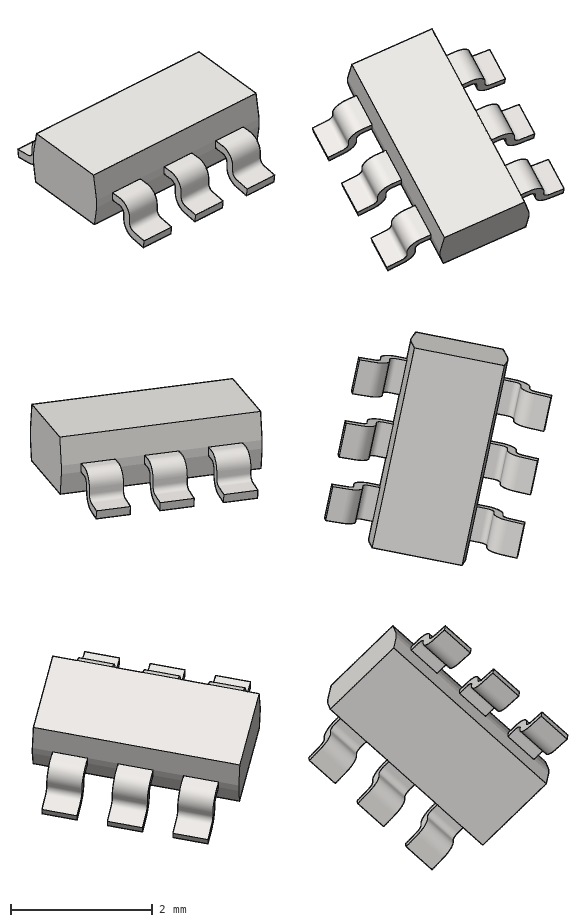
import cadquery as cq
import math

housing_length = 3.0
waist_half_width = 0.702
top_half_width = 0.633
bottom_half_width = 0.65
housing_bottom = 0.125
housing_top = 1.0

lead_thickness = 0.132
lead_width = 0.51
lead_pitch = 0.95
leads_per_side = 3
lead_underside = 0.45
lead_top = lead_underside + lead_thickness
lead_span = 2.8
lead_reach = lead_span / 2
shank_outer = 1.08
shank_inner = shank_outer - lead_thickness
inner_bend = 0.1
outer_bend = inner_bend + lead_thickness
foot_tilt = math.radians(7.0)


def make_housing():
    """Six-sided moulding with upright side bands where the leads meet it."""
    return (
        cq.Workplane("XZ")
        .moveTo(-bottom_half_width, housing_bottom)
        .lineTo(bottom_half_width, housing_bottom)
        .lineTo(waist_half_width, lead_underside)
        .lineTo(waist_half_width, lead_top)
        .lineTo(top_half_width, housing_top)
        .lineTo(-top_half_width, housing_top)
        .lineTo(-waist_half_width, lead_top)
        .lineTo(-waist_half_width, lead_underside)
        .close()
        .extrude(housing_length / 2, both=True)
    )


def arc_point(center, radius, angle):
    """Point on a circle, with the angle measured from +X."""
    return (center[0] + radius * math.cos(angle), center[1] + radius * math.sin(angle))


def make_lead(y_center):
    """Lead on the +X side, bent down from the housing and out into a sloping foot."""
    shoulder = (shank_inner - inner_bend, lead_underside - inner_bend)
    shoulder_middle = math.radians(45)

    ankle_x = shank_outer + inner_bend
    foot_length = (lead_reach - ankle_x + inner_bend * math.sin(foot_tilt)) / math.cos(foot_tilt)
    ankle_z = outer_bend * math.cos(foot_tilt) + foot_length * math.sin(foot_tilt)
    ankle = (ankle_x, ankle_z)
    ankle_start = math.pi
    ankle_end = 1.5 * math.pi - foot_tilt
    ankle_middle = (ankle_start + ankle_end) / 2

    foot_top_start = arc_point(ankle, inner_bend, ankle_end)
    foot_bottom_start = arc_point(ankle, outer_bend, ankle_end)
    foot_run = foot_length * math.cos(foot_tilt)
    foot_drop = foot_length * math.sin(foot_tilt)

    return (
        cq.Workplane("XZ", origin=(0, y_center, 0))
        .moveTo(waist_half_width, lead_top)
        .lineTo(shoulder[0], lead_top)
        .threePointArc(arc_point(shoulder, outer_bend, shoulder_middle), (shank_outer, shoulder[1]))
        .lineTo(shank_outer, ankle_z)
        .threePointArc(arc_point(ankle, inner_bend, ankle_middle), foot_top_start)
        .lineTo(foot_top_start[0] + foot_run, foot_top_start[1] - foot_drop)
        .lineTo(foot_bottom_start[0] + foot_run, foot_bottom_start[1] - foot_drop)
        .lineTo(*foot_bottom_start)
        .threePointArc(arc_point(ankle, outer_bend, ankle_middle), (shank_inner, ankle_z))
        .lineTo(shank_inner, shoulder[1])
        .threePointArc(
            arc_point(shoulder, inner_bend, shoulder_middle),
            (shoulder[0], lead_underside),
        )
        .lineTo(waist_half_width, lead_underside)
        .close()
        .extrude(lead_width / 2, both=True)
    )


housing = make_housing()

leads = []
for index in range(leads_per_side):
    y_center = (index - (leads_per_side - 1) / 2) * lead_pitch
    right_lead = make_lead(y_center)
    left_lead = right_lead.mirror("YZ")
    leads.append(right_lead.val())
    leads.append(left_lead.val())

result = cq.Compound.makeCompound([housing.val(), *leads])